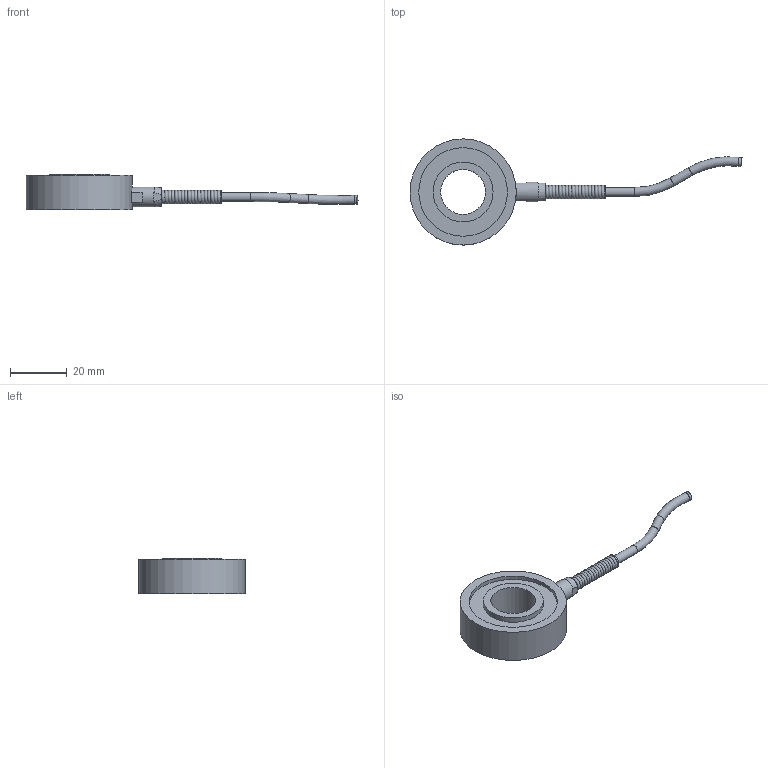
import cadquery as cq
import math

BODY_DIAMETER = 37.59
BODY_HEIGHT = 12.2
BORE_DIAMETER = 15.88
HUB_DIAMETER = 21.21
HUB_HEIGHT = 12.7
RECESS_DIAMETER = 31.37
RECESS_FLOOR = 10.75

AXIS_HEIGHT = 4.57
CONNECTOR_DIAMETER = 7.06
CONNECTOR_START = 17.0
TAPER_START = 26.85
CONNECTOR_END = 29.1
TAPER_END_DIAMETER = 6.5
WRENCH_FLAT_WIDTH = 6.1
WRENCH_FLAT_END = 22.3
END_FLAT_WIDTH = 6.3
END_FLAT_START = 26.4

RIB_CREST_DIAMETER = 4.9
RIB_ROOT_DIAMETER = 3.8
RIB_PITCH = 1.16
RIB_COUNT = 18
RELIEF_END = 50.4

CABLE_DIAMETER = 3.17
CABLE_BEND_START = 60.7
BEND_RADIUS = 26.6
BEND_ANGLE = 30.0
MIDDLE_LENGTH = 7.5
COUNTER_BEND_RADIUS = 27.0
TIP_ANGLE = 7.5
TIP_LENGTH = 1.01
BEND_PLANE_TILT = 5.5


def make_ring():
    """Ring with a recessed annular floor around a raised hub."""
    body = cq.Workplane("XY").circle(BODY_DIAMETER / 2).extrude(BODY_HEIGHT)
    recess = (
        cq.Workplane("XY", origin=(0, 0, RECESS_FLOOR))
        .circle(RECESS_DIAMETER / 2)
        .extrude(HUB_HEIGHT - RECESS_FLOOR)
    )
    hub = cq.Workplane("XY").circle(HUB_DIAMETER / 2).extrude(HUB_HEIGHT)
    bore = cq.Workplane("XY").circle(BORE_DIAMETER / 2).extrude(HUB_HEIGHT)
    return body.cut(recess).union(hub).cut(bore)


def revolve_about_axis(profile):
    """Turn an (X, radius) profile about the cable axis."""
    return profile.close().revolve(360, (0, 0, 0), (1, 0, 0))


def axis_plane():
    """XY workplane lifted to the cable axis."""
    return cq.Workplane("XY", origin=(0, 0, AXIS_HEIGHT))


def cut_side_flats(solid, start, end, width):
    """Cut a pair of flats facing -Y and +Y between two X positions."""
    for side in (-1, 1):
        waste = (
            axis_plane()
            .center((start + end) / 2, side * (width + CONNECTOR_DIAMETER) / 2)
            .box(end - start, CONNECTOR_DIAMETER, CONNECTOR_DIAMETER)
        )
        solid = solid.cut(waste)
    return solid


def make_connector():
    """Round connector with wrench flats at the ring and a tapered, flatted end."""
    radius = CONNECTOR_DIAMETER / 2
    connector = revolve_about_axis(
        axis_plane()
        .moveTo(CONNECTOR_START, 0)
        .lineTo(CONNECTOR_START, radius)
        .lineTo(TAPER_START, radius)
        .lineTo(CONNECTOR_END, TAPER_END_DIAMETER / 2)
        .lineTo(CONNECTOR_END, 0)
    )
    connector = cut_side_flats(connector, CONNECTOR_START, WRENCH_FLAT_END, WRENCH_FLAT_WIDTH)
    return cut_side_flats(connector, END_FLAT_START, CONNECTOR_END, END_FLAT_WIDTH)


def make_strain_relief():
    """Sleeve of evenly spaced rounded ribs meeting in sharp valleys, ended by a plain collar."""
    crest = RIB_CREST_DIAMETER / 2
    root = RIB_ROOT_DIAMETER / 2
    profile = axis_plane().moveTo(CONNECTOR_END, 0).lineTo(CONNECTOR_END, root)
    for index in range(RIB_COUNT):
        rib_start = CONNECTOR_END + index * RIB_PITCH
        profile = profile.threePointArc((rib_start + RIB_PITCH / 2, crest), (rib_start + RIB_PITCH, root))
    ribs_end = CONNECTOR_END + RIB_COUNT * RIB_PITCH
    profile = profile.lineTo(ribs_end, crest).lineTo(RELIEF_END, crest).lineTo(RELIEF_END, 0)
    return revolve_about_axis(profile)


def arc_point(start, radius, angle_from, angle_to):
    """Point reached by following a circular bend between two headings in degrees."""
    turn = math.copysign(1, angle_to - angle_from)
    a = math.radians(angle_from)
    b = math.radians(angle_to)
    return (
        start[0] + turn * radius * (math.sin(b) - math.sin(a)),
        start[1] + turn * radius * (math.cos(a) - math.cos(b)),
    )


def line_point(start, length, angle):
    """Point at a distance from the start along a heading in degrees."""
    a = math.radians(angle)
    return (start[0] + length * math.cos(a), start[1] + length * math.sin(a))


def make_cable():
    """Round cable swept along an S-shaped path in a plane tilted about the cable axis."""
    tilt = math.radians(BEND_PLANE_TILT)
    bend_plane = cq.Plane(
        origin=(0, 0, AXIS_HEIGHT),
        xDir=(1, 0, 0),
        normal=(0, math.sin(tilt), math.cos(tilt)),
    )
    bend_start = (CABLE_BEND_START, 0)
    bend_middle = arc_point(bend_start, BEND_RADIUS, 0, BEND_ANGLE / 2)
    bend_end = arc_point(bend_start, BEND_RADIUS, 0, BEND_ANGLE)
    counter_start = line_point(bend_end, MIDDLE_LENGTH, BEND_ANGLE)
    mean_heading = (BEND_ANGLE - TIP_ANGLE) / 2
    counter_middle = arc_point(counter_start, COUNTER_BEND_RADIUS, BEND_ANGLE, mean_heading)
    counter_end = arc_point(counter_start, COUNTER_BEND_RADIUS, BEND_ANGLE, -TIP_ANGLE)
    tip = line_point(counter_end, TIP_LENGTH, -TIP_ANGLE)
    path = (
        cq.Workplane(bend_plane)
        .moveTo(CONNECTOR_END, 0)
        .lineTo(*bend_start)
        .threePointArc(bend_middle, bend_end)
        .lineTo(*counter_start)
        .threePointArc(counter_middle, counter_end)
        .lineTo(*tip)
    )
    section = cq.Workplane("YZ", origin=(CONNECTOR_END, 0, AXIS_HEIGHT)).circle(CABLE_DIAMETER / 2)
    return section.sweep(path)


result = make_ring().union(make_connector()).union(make_strain_relief()).union(make_cable())